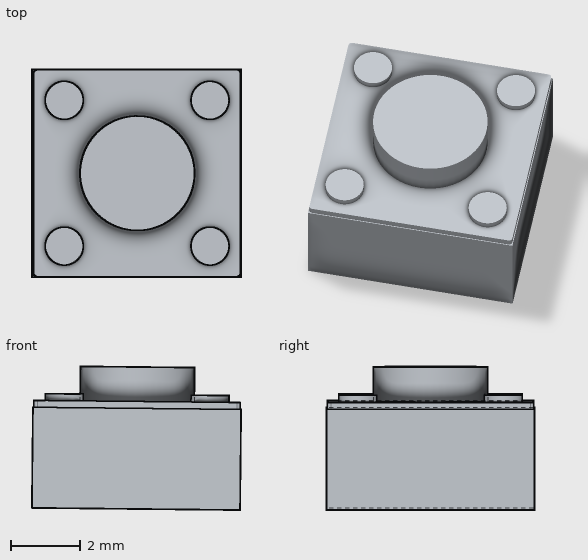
import cadquery as cq

body_side = 6.0
body_height = 2.9

plate_side = 5.95
plate_thickness = 0.2
plate_corner_radius = 0.1

button_diameter = 3.3
button_height = 0.995

rivet_diameter = 1.1
rivet_height = 0.2
rivet_spacing = 4.195

tilt_angle = 0.6

plate_top = body_height + plate_thickness


def make_body():
    return cq.Workplane("XY").rect(body_side, body_side).extrude(body_height)


def make_cover_plate():
    plate = (
        cq.Workplane("XY")
        .workplane(offset=body_height)
        .rect(plate_side, plate_side)
        .extrude(plate_thickness)
    )
    return plate.edges("|Z").fillet(plate_corner_radius)


def make_button():
    return (
        cq.Workplane("XY")
        .workplane(offset=plate_top)
        .circle(button_diameter / 2)
        .extrude(button_height)
    )


def make_rivets():
    """Four low round heads near the corners of the cover plate."""
    return (
        cq.Workplane("XY")
        .workplane(offset=plate_top)
        .rarray(rivet_spacing, rivet_spacing, 2, 2)
        .circle(rivet_diameter / 2)
        .extrude(rivet_height)
    )


upright_switch = make_body().union(make_cover_plate()).union(make_button()).union(make_rivets())
result = upright_switch.rotate((0, 0, 0), (0, 1, 0), tilt_angle)